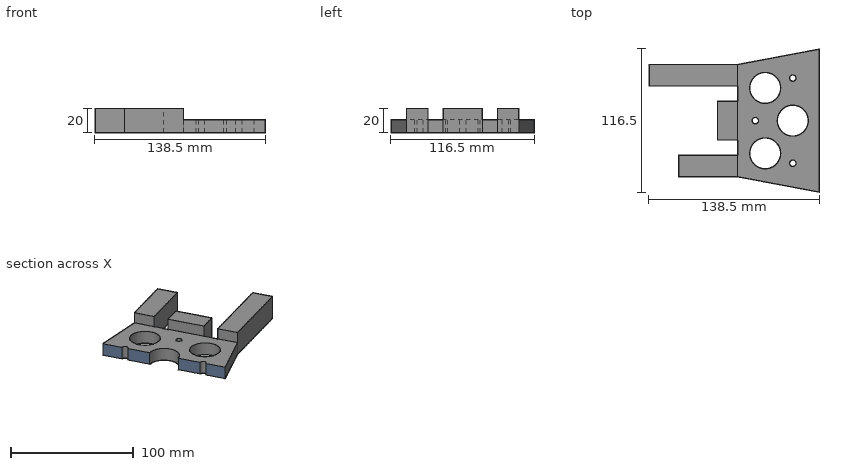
import cadquery as cq

plate_length = 66.5
plate_thickness = 10.8
narrow_width = 91.4
wide_width = 116.5

bar_height = 20.0
arm_width = 17.6
long_arm_length = 138.5 - plate_length
short_arm_length = 47.9
block_length = 16.5
block_width = 31.9
arm_center_y = (narrow_width - arm_width) / 2

large_hole_diameter = 24.9
large_pair_x = 22.5
large_pair_y = 26.6
small_hole_diameter = 5.0
small_center_x = 14.4
small_pair_y = 34.6
rear_hole_x = 2 * large_pair_x

large_hole_centers = [
    (large_pair_x, large_pair_y),
    (large_pair_x, -large_pair_y),
    (rear_hole_x, 0),
]
small_hole_centers = [
    (rear_hole_x, small_pair_y),
    (rear_hole_x, -small_pair_y),
    (small_center_x, 0),
]


def make_plate():
    """Trapezoidal plate with its large and small through holes."""
    plate = (
        cq.Workplane("XY")
        .moveTo(0, -narrow_width / 2)
        .lineTo(plate_length, -wide_width / 2)
        .lineTo(plate_length, wide_width / 2)
        .lineTo(0, narrow_width / 2)
        .close()
        .extrude(plate_thickness)
    )
    holes = (
        cq.Workplane("XY")
        .pushPoints(large_hole_centers)
        .circle(large_hole_diameter / 2)
        .pushPoints(small_hole_centers)
        .circle(small_hole_diameter / 2)
        .extrude(plate_thickness)
    )
    return plate.cut(holes)


def make_bar(length, width, center_y):
    """Rectangular bar ending on the narrow edge of the plate."""
    return (
        cq.Workplane("XY")
        .center(-length / 2, center_y)
        .rect(length, width)
        .extrude(bar_height)
    )


result = (
    make_plate()
    .union(make_bar(long_arm_length, arm_width, arm_center_y))
    .union(make_bar(short_arm_length, arm_width, -arm_center_y))
    .union(make_bar(block_length, block_width, 0))
)